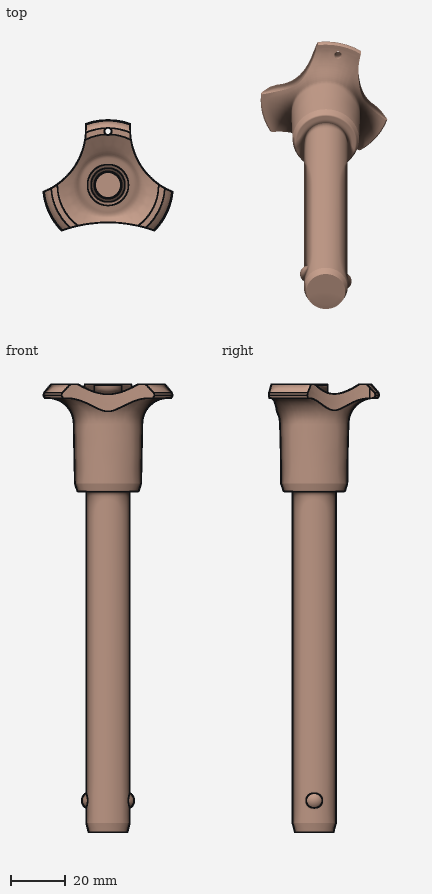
import cadquery as cq
import math


overall_length = 163.7
pin_radius = 8.0
tip_radius = 7.1
tip_length = 3.4

ball_radius = 3.1
ball_reach = 9.6
ball_height_from_tip = 11.6

barrel_bottom_z = -39.2
barrel_taper_end_z = -36.3
barrel_top_z = -14.3
barrel_top_radius = 12.6
barrel_low_radius = 12.15
barrel_bottom_radius = 11.2
barrel_edge_fillet = 0.6

flange_radius = 23.8
flange_rim_z = -4.1
flange_bevel_z = -3.1
flange_bevel_radius = 23.5
flange_bottom_edge_radius = 23.2
flange_top_radius = 20.8
flare_radius = 9.2

dish_radius = 18.5
dish_bottom_radius = 12.4
dish_bottom_z = -4.7
recess_wall_radius = 11.2
recess_wall_angle = 40.0
recess_floor_radius = 10.0
well_top_radius = 7.5
well_floor_radius = 6.2
well_floor_z = -6.8

button_radius = 5.0
button_edge_chamfer = 0.3

side_scallop_x = 32.63
side_scallop_y = 20.3
side_scallop_radius = 24.5
wing_half_width = 8.1
front_scallop_radius = 50.0
front_scallop_edge_y = -13.7

lanyard_hole_diameter = 2.6
lanyard_hole_y = 19.6


def make_pin():
    pin_length = overall_length + barrel_bottom_z
    shaft = (
        cq.Workplane("XY", origin=(0, 0, -overall_length))
        .circle(pin_radius)
        .extrude(pin_length)
    )
    return shaft.faces("<Z").chamfer(tip_length, pin_radius - tip_radius)


def make_balls():
    ball_z = ball_height_from_tip - overall_length
    ball_x = ball_reach - ball_radius
    base = cq.Workplane("XY", origin=(0, 0, ball_z))
    return base.pushPoints([(-ball_x, 0), (ball_x, 0)]).sphere(ball_radius)


def make_barrel():
    profile = (
        cq.Workplane("XZ")
        .moveTo(0, barrel_bottom_z)
        .lineTo(barrel_bottom_radius, barrel_bottom_z)
        .lineTo(barrel_low_radius, barrel_taper_end_z)
        .lineTo(barrel_top_radius, barrel_top_z)
        .lineTo(0, barrel_top_z)
        .close()
    )
    barrel = profile.revolve(360, (0, 0, 0), (0, 1, 0))
    return barrel.faces("<Z").edges().fillet(barrel_edge_fillet)


def make_flange():
    """Solid of revolution: concave flare below, bevelled rim, hollow on top."""
    flange_bottom_z = barrel_top_z + flare_radius
    flare_offset = flare_radius * (1 - math.sqrt(0.5))
    wall_slope = math.radians(recess_wall_angle)
    recess_wall_z = dish_bottom_z - (dish_bottom_radius - recess_wall_radius) * math.tan(wall_slope)
    recess_floor_z = recess_wall_z - (recess_wall_radius - recess_floor_radius) * math.tan(wall_slope / 2)
    profile = (
        cq.Workplane("XZ")
        .moveTo(0, barrel_top_z)
        .lineTo(barrel_top_radius, barrel_top_z)
        .threePointArc(
            (barrel_top_radius + flare_offset, flange_bottom_z - flare_offset),
            (barrel_top_radius + flare_radius, flange_bottom_z),
        )
        .lineTo(flange_bottom_edge_radius, flange_bottom_z)
        .lineTo(flange_radius, flange_rim_z)
        .lineTo(flange_bevel_radius, flange_bevel_z)
        .lineTo(flange_top_radius, 0)
        .lineTo(dish_radius, 0)
        .lineTo(dish_bottom_radius, dish_bottom_z)
        .lineTo(recess_wall_radius, recess_wall_z)
        .tangentArcPoint((recess_floor_radius, recess_floor_z), relative=False)
        .lineTo(well_top_radius, recess_floor_z)
        .lineTo(well_floor_radius, well_floor_z)
        .lineTo(0, well_floor_z)
        .close()
    )
    return profile.revolve(360, (0, 0, 0), (0, 1, 0))


def make_scallops():
    """Full-height cutters: two round ones beside the rear wing and a shallow one in front."""
    base = cq.Workplane("XY", origin=(0, 0, barrel_top_z))
    height = -barrel_top_z
    cutters = base.center(0, front_scallop_edge_y - front_scallop_radius)
    cutters = cutters.circle(front_scallop_radius).extrude(height)
    for side in (-1, 1):
        round_cutter = base.center(side * side_scallop_x, side_scallop_y)
        cutters = cutters.union(round_cutter.circle(side_scallop_radius).extrude(height))
        wing_side_x = side * (wing_half_width + flange_radius / 2)
        wing_side_length = 2 * (flange_radius - side_scallop_y)
        flat_cutter = base.center(wing_side_x, flange_radius)
        cutters = cutters.union(flat_cutter.rect(flange_radius, wing_side_length).extrude(height))
    return cutters


def make_lanyard_hole():
    return (
        cq.Workplane("XY", origin=(0, lanyard_hole_y, barrel_top_z))
        .circle(lanyard_hole_diameter / 2)
        .extrude(-barrel_top_z)
    )


def make_button():
    base = cq.Workplane("XY", origin=(0, 0, well_floor_z))
    button = base.circle(button_radius).extrude(-well_floor_z)
    return button.faces(">Z").chamfer(button_edge_chamfer)


flange = make_flange().cut(make_scallops()).cut(make_lanyard_hole())
result = make_pin().union(make_balls()).union(make_barrel()).union(flange).union(make_button())